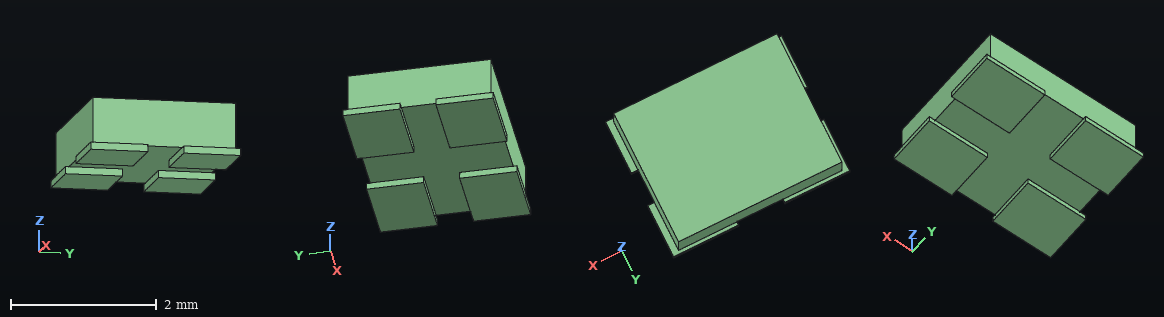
import cadquery as cq

overall_length = 2.7
overall_width = 2.1
overall_height = 0.75

pad_length = 1.0
pad_width = 0.8
pad_thickness = 0.1

body_length = 2.5
body_width = 2.0
body_height = overall_height - pad_thickness

pad_center_x = (overall_length - pad_length) / 2
pad_center_y = (overall_width - pad_width) / 2


def make_body():
    """Plain block whose underside sits on top of the pads."""
    return (
        cq.Workplane("XY")
        .workplane(offset=pad_thickness)
        .box(body_length, body_width, body_height, centered=(True, True, False))
    )


def make_pad(x_side, y_side):
    """Flat pad at the corner given by the signs of X and Y."""
    return (
        cq.Workplane("XY")
        .center(x_side * pad_center_x, y_side * pad_center_y)
        .box(pad_length, pad_width, pad_thickness, centered=(True, True, False))
    )


body = make_body()
pads = [make_pad(x_side, y_side) for x_side in (-1, 1) for y_side in (-1, 1)]

result = cq.Compound.makeCompound([body.val(), *[pad.val() for pad in pads]])